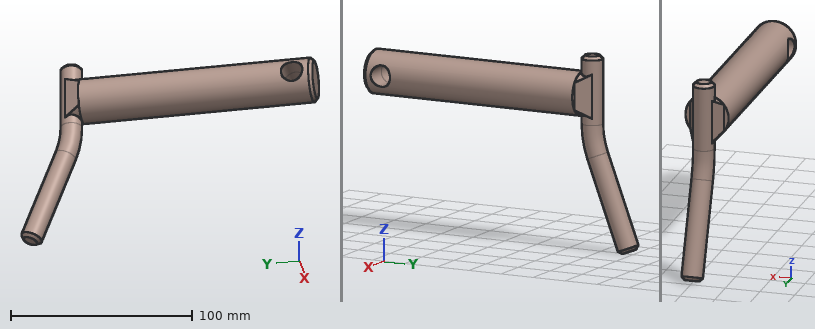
import cadquery as cq
import math

PIN_DIAMETER = 25.0
PIN_RADIUS = PIN_DIAMETER / 2
PIN_LENGTH = 131.2
CROSS_HOLE_DIAMETER = 12.0
CROSS_HOLE_Y = 11.2
CHAMFER = 2.0

HANDLE_DIAMETER = 12.0
HANDLE_RADIUS = HANDLE_DIAMETER / 2
HANDLE_Y = PIN_LENGTH + HANDLE_RADIUS
HANDLE_TOP_Z = 22.3
BEND_START_Z = -16.4
BEND_RADIUS = 50.0
BEND_ANGLE = 20.7
LEG_LENGTH = 56.0

WELD_HALF_WIDTH = 9.7


def make_pin():
    """Round pin with a chamfered free end and a cross hole along X."""
    body = cq.Workplane("XZ").circle(PIN_RADIUS).extrude(-PIN_LENGTH)
    body = body.faces("<Y").chamfer(CHAMFER)
    hole = (
        cq.Workplane("YZ")
        .center(CROSS_HOLE_Y, 0)
        .circle(CROSS_HOLE_DIAMETER / 2)
        .extrude(PIN_RADIUS, both=True)
    )
    return body.cut(hole)


def make_handle():
    """Rod that runs down, bends away from the pin and ends in a straight leg."""
    angle = math.radians(BEND_ANGLE)

    def bend_point(turn):
        y = HANDLE_Y + BEND_RADIUS * (1 - math.cos(turn))
        z = BEND_START_Z - BEND_RADIUS * math.sin(turn)
        return y, z

    bend_end_y, bend_end_z = bend_point(angle)
    leg_end = (
        bend_end_y + LEG_LENGTH * math.sin(angle),
        bend_end_z - LEG_LENGTH * math.cos(angle),
    )
    path = (
        cq.Workplane("YZ")
        .moveTo(HANDLE_Y, HANDLE_TOP_Z)
        .lineTo(HANDLE_Y, BEND_START_Z)
        .threePointArc(bend_point(angle / 2), (bend_end_y, bend_end_z))
        .lineTo(*leg_end)
    )
    rod = (
        cq.Workplane("XY", origin=(0, HANDLE_Y, HANDLE_TOP_Z))
        .circle(HANDLE_RADIUS)
        .sweep(path)
    )
    return rod.faces(">Z or <Z").chamfer(CHAMFER)


def make_weld(side, handle):
    """Weld on one side (+1 or -1): lofted from the round pin end to a straight edge along the handle."""
    tangent_turn = 2 * math.atan(WELD_HALF_WIDTH / HANDLE_RADIUS)
    tangent_x = side * HANDLE_RADIUS * math.sin(tangent_turn)
    tangent_y = HANDLE_Y - HANDLE_RADIUS * math.cos(tangent_turn)
    edge_angle = math.acos(WELD_HALF_WIDTH / PIN_RADIUS)
    arc_angle = (edge_angle + math.pi / 2) / 2

    def pin_rim(angle):
        return side * PIN_RADIUS * math.cos(angle), PIN_RADIUS * math.sin(angle)

    pin_profile = (
        cq.Workplane("XZ", origin=(0, PIN_LENGTH, 0))
        .moveTo(0, -PIN_RADIUS)
        .lineTo(0, PIN_RADIUS)
        .threePointArc(pin_rim(arc_angle), pin_rim(edge_angle))
        .lineTo(*pin_rim(-edge_angle))
        .threePointArc(pin_rim(-arc_angle), (0, -PIN_RADIUS))
        .close()
    )
    handle_profile = (
        cq.Workplane("XZ", origin=(0, tangent_y, 0))
        .moveTo(0, -PIN_RADIUS)
        .lineTo(0, PIN_RADIUS)
        .lineTo(tangent_x, PIN_RADIUS)
        .lineTo(tangent_x, -PIN_RADIUS)
        .close()
    )
    weld = cq.Solid.makeLoft([pin_profile.val(), handle_profile.val()], True)
    return cq.Workplane(weld).cut(handle)


pin = make_pin()
handle = make_handle()
welds = [make_weld(side, handle) for side in (1, -1)]

result = cq.Compound.makeCompound([pin.val(), handle.val(), *[weld.solids().val() for weld in welds]])